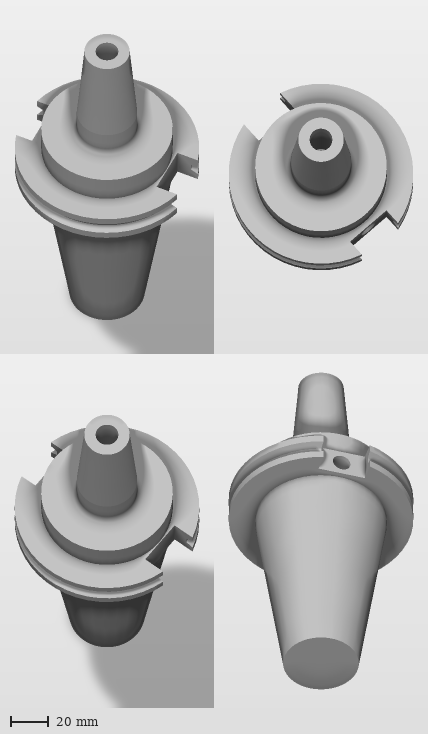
import cadquery as cq

total_height = 201.5

shank_end_radius = 20.2
body_radius = 35.0
gauge_height = 101.6

flange_radius = 49.2
flange_bottom = 104.8
flange_top = 120.5
flange_middle = (flange_bottom + flange_top) / 2
groove_floor_radius = 45.4
groove_mouth_half_width = 3.6
groove_floor_half_width = 1.92

collar_top = 136.3
neck_radius = 16.1
neck_fillet = 3.0
nose_base = 150.8
nose_tip_radius = 12.0

bore_radius = 6.0
bore_depth = 48.4

slot_width = 25.8
left_slot_floor = 38.1
right_slot_floor = 35.5
slot_hole_diameter = 9.7
slot_hole_depth = 10.0


def turned_body():
    """Revolve the shank, flange, collar and nose around Z."""
    profile = (
        cq.Workplane("XZ")
        .lineTo(shank_end_radius, 0)
        .lineTo(body_radius, gauge_height)
        .lineTo(body_radius, flange_bottom)
        .lineTo(flange_radius, flange_bottom)
        .lineTo(flange_radius, flange_middle - groove_mouth_half_width)
        .lineTo(groove_floor_radius, flange_middle - groove_floor_half_width)
        .lineTo(groove_floor_radius, flange_middle + groove_floor_half_width)
        .lineTo(flange_radius, flange_middle + groove_mouth_half_width)
        .lineTo(flange_radius, flange_top)
        .lineTo(body_radius, flange_top)
        .lineTo(body_radius, collar_top)
        .lineTo(neck_radius + neck_fillet, collar_top)
        .tangentArcPoint((neck_radius, collar_top + neck_fillet), relative=False)
        .lineTo(neck_radius, nose_base)
        .lineTo(nose_tip_radius, total_height)
        .lineTo(0, total_height)
        .close()
    )
    return profile.revolve(360, (0, 0), (0, 1))


def drive_slot(side, floor_distance):
    """Block that cuts one slot through the flange; side is -1 or +1 along X."""
    radial_length = flange_radius - floor_distance + 2
    return cq.Workplane("XY").box(
        radial_length, slot_width, flange_top - flange_bottom
    ).translate((side * (floor_distance + radial_length / 2), 0, flange_middle))


def tool_bore():
    """Blind bore down from the nose tip."""
    return (
        cq.Workplane("XY", origin=(0, 0, total_height - bore_depth))
        .circle(bore_radius)
        .extrude(bore_depth)
    )


def slot_hole():
    """Blind radial hole in the floor of the -X slot."""
    return (
        cq.Workplane("YZ", origin=(-left_slot_floor, 0, flange_middle))
        .circle(slot_hole_diameter / 2)
        .extrude(slot_hole_depth)
    )


result = (
    turned_body()
    .cut(drive_slot(-1, left_slot_floor))
    .cut(drive_slot(1, right_slot_floor))
    .cut(tool_bore())
    .cut(slot_hole())
)